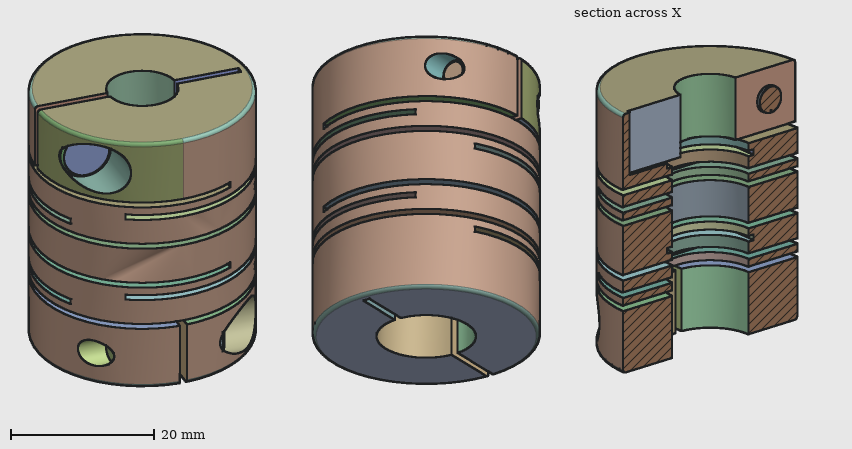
import cadquery as cq

LENGTH = 39.0
DIAMETER = 31.8
RADIUS = DIAMETER / 2
RIM_FILLET = 0.5

TOP_BORE_RADIUS = 5.05
LOWER_BORE_RADIUS = 6.95

HUB_LENGTH = 9.4
CUT_HEIGHT = 0.78
BEAM_HEIGHT = 1.2
PAIR_GAP = 1.85
CUT_REACH = 7.85

SLIT_WIDTH = 1.05
SLIT_CLOSED_END = 14.6
SCREW_OFFSET = 10.95
SCREW_RADIUS = 2.0
SCREW_CHAMFER = 0.4
SCREW_TIP = -9.1
HEAD_RADIUS = 3.8
HEAD_SEAT = 3.12
HEAD_TOP = 6.8

HUB_MIDDLE = LENGTH - HUB_LENGTH / 2
PAIR_HEIGHT = 2 * CUT_HEIGHT + BEAM_HEIGHT
UPPER_PAIR_TOP = LENGTH - HUB_LENGTH
CROSSED_PAIR_TOP = UPPER_PAIR_TOP - PAIR_HEIGHT - PAIR_GAP
LOWER_PAIR_TOP = LENGTH - CROSSED_PAIR_TOP + PAIR_HEIGHT
CLEAR = DIAMETER


def rod(radius, start, end):
    """Cylinder along X on the clamp screw axis of the top hub."""
    return (
        cq.Workplane("YZ", origin=(start, -SCREW_OFFSET, HUB_MIDDLE))
        .circle(radius)
        .extrude(end - start)
    )


def flip_to_other_end(shape):
    """Carry a feature of one end to the other: mirror top to bottom, then a quarter turn."""
    return shape.mirror("XY", (0, 0, LENGTH / 2)).rotate((0, 0, 0), (0, 0, 1), 90)


def flexure_cut(top, side):
    """Flat cut entering from the side (-1 or +1) along Y and running past the axis."""
    depth = CLEAR + CUT_REACH
    return (
        cq.Workplane("XY", origin=(0, side * (CLEAR - CUT_REACH) / 2, top - CUT_HEIGHT))
        .rect(2 * CLEAR, depth)
        .extrude(CUT_HEIGHT)
    )


def flexure_pair(top):
    """Two opposed cuts, the upper one open to -Y and the lower one to +Y."""
    lower_top = top - CUT_HEIGHT - BEAM_HEIGHT
    return flexure_cut(top, -1).union(flexure_cut(lower_top, 1))


def clamp_slit():
    """Slit through the top hub, open to -Y and closed short of the +Y surface."""
    return (
        cq.Workplane("XY", origin=(0, (SLIT_CLOSED_END - CLEAR) / 2, LENGTH - HUB_LENGTH))
        .rect(SLIT_WIDTH, SLIT_CLOSED_END + CLEAR)
        .extrude(HUB_LENGTH)
    )


def screw_hole():
    """Through hole with a counterbore for the screw head on the +X side."""
    return rod(SCREW_RADIUS, -CLEAR, CLEAR).union(rod(HEAD_RADIUS, HEAD_SEAT, CLEAR))


def clamp_screw():
    """Clamp screw with a chamfered tip and a chamfered head, filling its hole."""
    shank = rod(SCREW_RADIUS, SCREW_TIP, HEAD_SEAT).faces("<X").chamfer(SCREW_CHAMFER)
    head = rod(HEAD_RADIUS, HEAD_SEAT, HEAD_TOP).faces(">X").chamfer(SCREW_CHAMFER)
    return shank.union(head)


body = cq.Workplane("XY").circle(RADIUS).extrude(LENGTH).edges().fillet(RIM_FILLET)
top_bore = cq.Workplane("XY").circle(TOP_BORE_RADIUS).extrude(LENGTH)
lower_bore = cq.Workplane("XY").circle(LOWER_BORE_RADIUS).extrude(LENGTH - HUB_LENGTH)
body = body.cut(top_bore).cut(lower_bore)

for pair_top in (UPPER_PAIR_TOP, LOWER_PAIR_TOP):
    pair = flexure_pair(pair_top)
    body = body.cut(pair).cut(flip_to_other_end(pair))

for feature in (clamp_slit(), screw_hole()):
    body = body.cut(feature).cut(flip_to_other_end(feature))

screw = clamp_screw()
result = body.union(screw).union(flip_to_other_end(screw))